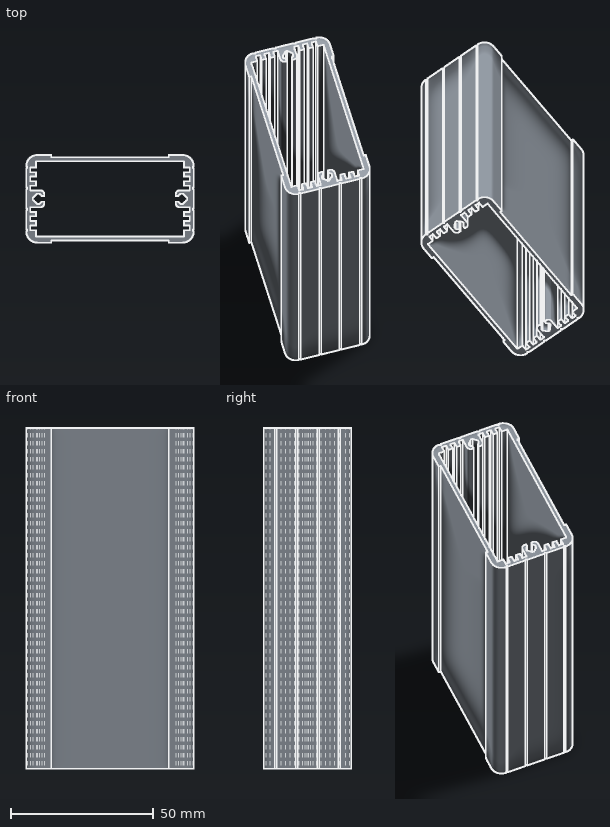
import cadquery as cq

width = 59.0
depth = 30.93
length = 120.0
corner_radius = 4.0

cavity_width = 52.0
cavity_depth = 26.43

relief_width = 41.25
relief_depth = 0.75

side_wall = 1.45
slot_width = 1.6
slot_pitch = 2 * slot_width
slots_per_half = 3

channel_half_width = 3.0
channel_reach = 6.4
lip_radius = 1.4
bore_size = 3.55
bore_back = 2.4
bore_back_half = 0.3
bore_flat = 0.8
mouth_width = 1.9

groove_radius = 0.35
outer_groove_y = depth / 2 - corner_radius - groove_radius
inner_groove_y = 3.7

side_signs = (-1, 1)


def box(x_size, y_size, x_center=0.0, y_center=0.0):
    """Full-length block centred on the given XY point."""
    return cq.Workplane("XY").center(x_center, y_center).rect(x_size, y_size).extrude(length)


def rod(radius, x_center, y_center):
    """Full-length cylinder on the given XY point."""
    return cq.Workplane("XY").center(x_center, y_center).circle(radius).extrude(length)


def make_shell():
    """Rounded tube with the main cavity and the broad-face reliefs."""
    shell = box(width, depth).edges("|Z").fillet(corner_radius)
    shell = shell.cut(box(cavity_width, cavity_depth))
    for sign in side_signs:
        shell = shell.cut(box(relief_width, 2 * relief_depth, 0, sign * depth / 2))
    return shell


def cut_board_slots(body):
    """Slots spaced outward from the screw channel, facing each other across the cavity."""
    slot_span = width - 2 * side_wall
    for index in range(slots_per_half):
        slot_y = channel_half_width + slot_width / 2 + index * slot_pitch
        for sign in side_signs:
            body = body.cut(box(slot_span, slot_width, 0, sign * slot_y))
    return body


def make_screw_channel(side):
    """Screw channel block standing on the narrow wall at the given side of X, with rounded lips."""
    wall_x = side * (width / 2 - side_wall)
    tip_x = side * (width / 2 - channel_reach)
    channel = box(abs(wall_x - tip_x), 2 * channel_half_width, (wall_x + tip_x) / 2)
    lip_edges = "|Z and <X" if side > 0 else "|Z and >X"
    return channel.edges(lip_edges).fillet(lip_radius)


def cut_screw_bore(body, side):
    """Bore of the screw channel, with 45 degree flanks, and the mouth that opens it to the cavity."""
    face_x = width / 2
    bore_half = bore_size / 2
    mouth_half = mouth_width / 2
    back_x = face_x - bore_back
    flat_start_x = back_x - (bore_half - bore_back_half)
    flat_end_x = flat_start_x - bore_flat
    throat_x = flat_end_x - (bore_half - mouth_half)
    tip_x = face_x - channel_reach
    half_outline = [
        (back_x, bore_back_half),
        (flat_start_x, bore_half),
        (flat_end_x, bore_half),
        (throat_x, mouth_half),
        (tip_x, mouth_half),
    ]
    mirrored_outline = [(x, -y) for x, y in reversed(half_outline)]
    outline = [(side * x, y) for x, y in half_outline + mirrored_outline]
    return body.cut(cq.Workplane("XY").polyline(outline).close().extrude(length))


def cut_grooves(body):
    """Half-round grooves along both narrow outer faces."""
    for side in side_signs:
        for sign in side_signs:
            for groove_y in (inner_groove_y, outer_groove_y):
                body = body.cut(rod(groove_radius, side * width / 2, sign * groove_y))
    return body


profile = cut_board_slots(make_shell())
for side in side_signs:
    profile = profile.union(make_screw_channel(side))
    profile = cut_screw_bore(profile, side)
result = cut_grooves(profile)